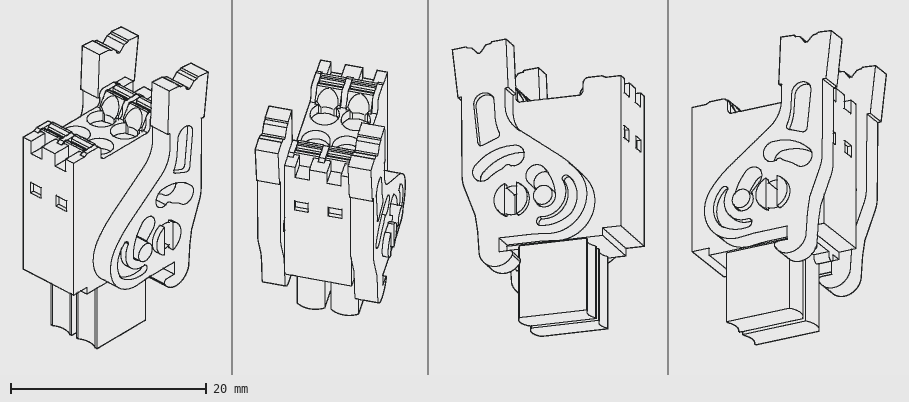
import cadquery as cq


HOUSING_WIDTH = 7.1
HOUSING_DEPTH = 15.28
HOUSING_BOTTOM_Z = 7.75
STEP_Z = 8.58
STEP_HALF_DEPTH = 5.65
PLATEAU_Z = 23.22
HOUSING_TOP_Z = 24.83
RIB_TOP_Z = 25.03

TERMINAL_MID_Y = 0.15
TERMINAL_X = 1.65
ENTRY_OFFSET = 1.93
ENTRY_RADIUS = 1.5
ENTRY_DEPTH = 1.25
ENTRY_FLOOR_Z = PLATEAU_Z - ENTRY_DEPTH

RIB_FOOT = 3.28
RIB_FACE = 3.65
RIB_SHOULDER = 4.27
RIB_RAMP_TOP = 5.75
RIB_RAMP_FOOT = 6.18
RIB_FACE_LOW_Z = 23.8
RIB_FOOT_ARC_MID = 3.55
RIB_FOOT_ARC_MID_Z = 23.4
RIB_FACE_HIGH_Z = 24.48
RIB_TOP_ARC_MID = 3.85
RIB_TOP_ARC_MID_Z = 24.85

TEST_SLOT_X = 1.67
TEST_SLOT_WIDTH = 1.5
TEST_SLOT_FLOOR_Z = 23.3

WINDOW_X = 1.8
WINDOW_WIDTH = 1.45
WINDOW_BOTTOM_Z = 18.45
WINDOW_HEIGHT = 1.3
WINDOW_DEPTH = 0.45

BUTTON_WIDTH = 2.64
BUTTON_FRONT = 3.1
BUTTON_BACK = RIB_RAMP_TOP
BUTTON_RIDGE = 3.98
BUTTON_TOP_Z = 25.12
BUTTON_SLOPE_Z = 23.65
BUTTON_MID = (BUTTON_RIDGE + BUTTON_BACK) / 2
BUTTON_BORE_RADIUS = 1.35
BUTTON_BORE_TOP_Z = 22.87
FUNNEL_MID_RADIUS = 1.82
FUNNEL_MID_Z = 24.2
FUNNEL_TOP_RADIUS = 2.02
GROOVE_DEPTH = 0.53
GROOVE_LEDGE_DEPTH = 0.18

BLADE_X = 1.8
BLADE_WIDTH = 2.93
BLADE_FRONT_Y = -3.8
BLADE_BACK_Y = 3.98
BLADE_BULGE = 0.5
BLADE_GROOVE_WIDTH = 2.4
BLADE_GROOVE_DEPTH = 0.35
LUG_RADIUS = 0.47
LUG_AXIS_Z = 7.38

LEVER_GAP = 0.15
LEVER_THICKNESS = 2.43
LEVER_INNER_X = HOUSING_WIDTH / 2 + LEVER_GAP
LEVER_OUTER_X = LEVER_INNER_X + LEVER_THICKNESS
PIN_SPAN = 13.5
PIN_END_X = PIN_SPAN / 2
PIVOT_Y = 3.22
PIVOT_Z = 11.75
PIVOT_RADIUS = 1.55
PIVOT_HEAD_RADIUS = 1.82
PIVOT_SLOT_WIDTH = 1.3
STUD_Y = -0.3
STUD_RADIUS = 1.02
RECESS_DEPTH = 0.7


def box(x0, x1, y0, y1, z0, z1):
    """Box between two values on each axis."""
    return cq.Workplane("XY").box(x1 - x0, y1 - y0, z1 - z0, centered=False).translate((x0, y0, z0))


def side_sketch(x):
    """Sketch plane across X, where the local axes are Y and Z."""
    return cq.Workplane("YZ", origin=(x, 0, 0))


def row_y(row, offset):
    """Y of a point at a distance from the terminal mid plane; row is 1 for the +Y row, -1 for the other."""
    return TERMINAL_MID_Y + row * offset


def mirror_row(shape):
    """Copy of a shape in the opposite terminal row."""
    return shape.mirror("XZ", (0, TERMINAL_MID_Y, 0))


def housing_block():
    """Stepped block with raised ribs at both ends of the sunken plateau."""
    half_depth = HOUSING_DEPTH / 2
    lower = box(-HOUSING_WIDTH / 2, HOUSING_WIDTH / 2, -STEP_HALF_DEPTH, STEP_HALF_DEPTH,
                HOUSING_BOTTOM_Z, STEP_Z)
    upper = box(-HOUSING_WIDTH / 2, HOUSING_WIDTH / 2, -half_depth, half_depth, STEP_Z, PLATEAU_Z)
    block = lower.union(upper)
    for row in (1, -1):
        foot_arc_mid = (row_y(row, RIB_FOOT_ARC_MID), RIB_FOOT_ARC_MID_Z)
        top_arc_mid = (row_y(row, RIB_TOP_ARC_MID), RIB_TOP_ARC_MID_Z)
        rib = (
            side_sketch(-HOUSING_WIDTH / 2)
            .moveTo(row_y(row, RIB_FOOT), PLATEAU_Z)
            .threePointArc(foot_arc_mid, (row_y(row, RIB_FACE), RIB_FACE_LOW_Z))
            .lineTo(row_y(row, RIB_FACE), RIB_FACE_HIGH_Z)
            .threePointArc(top_arc_mid, (row_y(row, RIB_SHOULDER), RIB_TOP_Z))
            .lineTo(row_y(row, RIB_RAMP_TOP), RIB_TOP_Z)
            .lineTo(row_y(row, RIB_RAMP_FOOT), HOUSING_TOP_Z)
            .lineTo(row * half_depth, HOUSING_TOP_Z)
            .lineTo(row * half_depth, PLATEAU_Z)
            .close()
            .extrude(HOUSING_WIDTH)
        )
        block = block.union(rib)
    return block


def terminal_cuts(x_side):
    """Everything removed from the +Y row of the housing for one terminal."""
    x = x_side * TERMINAL_X
    mid = TERMINAL_MID_Y
    x0 = x - BUTTON_WIDTH / 2
    x1 = x + BUTTON_WIDTH / 2
    button_seat = box(x0, x1, mid + BUTTON_FRONT, mid + BUTTON_BACK, ENTRY_FLOOR_Z, BUTTON_TOP_Z)
    ramp_gap = box(x0, x1, mid + BUTTON_BACK, mid + RIB_RAMP_FOOT, HOUSING_TOP_Z, BUTTON_TOP_Z)
    wire_entry = (
        cq.Workplane("XY", origin=(x, mid + ENTRY_OFFSET, ENTRY_FLOOR_Z))
        .circle(ENTRY_RADIUS)
        .extrude(ENTRY_DEPTH)
    )
    slot_x = x_side * TEST_SLOT_X
    test_slot = box(slot_x - TEST_SLOT_WIDTH / 2, slot_x + TEST_SLOT_WIDTH / 2,
                    mid + BUTTON_BACK, HOUSING_DEPTH, TEST_SLOT_FLOOR_Z, BUTTON_TOP_Z)
    return button_seat.union(ramp_gap).union(wire_entry).union(test_slot)


def window(x_side, row):
    """Shallow window in the end face of one row."""
    return cq.Workplane("XY").box(WINDOW_WIDTH, 2 * WINDOW_DEPTH, WINDOW_HEIGHT).translate(
        (x_side * WINDOW_X, row * HOUSING_DEPTH / 2, WINDOW_BOTTOM_Z + WINDOW_HEIGHT / 2)
    )


def blade(x_side):
    """Plug blade with a convex back end, a concave front end and a round-bottomed lug at its root."""
    x = x_side * BLADE_X
    half = BLADE_WIDTH / 2
    half_groove = BLADE_GROOVE_WIDTH / 2
    shoulder_y = BLADE_BACK_Y - BLADE_BULGE
    body = (
        cq.Workplane("XY")
        .moveTo(x - half, BLADE_FRONT_Y)
        .lineTo(x - half_groove, BLADE_FRONT_Y)
        .threePointArc((x, BLADE_FRONT_Y + BLADE_GROOVE_DEPTH), (x + half_groove, BLADE_FRONT_Y))
        .lineTo(x + half, BLADE_FRONT_Y)
        .lineTo(x + half, shoulder_y)
        .threePointArc((x, BLADE_BACK_Y), (x - half, shoulder_y))
        .close()
        .extrude(HOUSING_BOTTOM_Z)
    )
    lug = (
        cq.Workplane("XZ", origin=(x, STEP_HALF_DEPTH, 0))
        .moveTo(-LUG_RADIUS, HOUSING_BOTTOM_Z)
        .lineTo(-LUG_RADIUS, LUG_AXIS_Z)
        .threePointArc((0, LUG_AXIS_Z - LUG_RADIUS), (LUG_RADIUS, LUG_AXIS_Z))
        .lineTo(LUG_RADIUS, HOUSING_BOTTOM_Z)
        .close()
        .extrude(STEP_HALF_DEPTH - shoulder_y)
    )
    return body.union(lug)


def pivot_pin():
    """Slotted snap pin on the +X side: a neck through the lever and a wider head outside it."""
    start_x = HOUSING_WIDTH / 2
    neck = (
        side_sketch(start_x)
        .center(PIVOT_Y, PIVOT_Z)
        .circle(PIVOT_RADIUS)
        .extrude(LEVER_OUTER_X - start_x)
    )
    head = (
        side_sketch(LEVER_OUTER_X)
        .center(PIVOT_Y, PIVOT_Z)
        .circle(PIVOT_HEAD_RADIUS)
        .extrude(PIN_END_X - LEVER_OUTER_X)
    )
    slot = box(LEVER_INNER_X, PIN_END_X, PIVOT_Y - PIVOT_SLOT_WIDTH / 2, PIVOT_Y + PIVOT_SLOT_WIDTH / 2,
               PIVOT_Z - PIVOT_HEAD_RADIUS, PIVOT_Z + PIVOT_HEAD_RADIUS)
    return neck.union(head).cut(slot)


def guide_stud():
    """Round stud on the +X side that runs in the guide slot of the lever."""
    start_x = HOUSING_WIDTH / 2
    return side_sketch(start_x).center(STUD_Y, PIVOT_Z).circle(STUD_RADIUS).extrude(PIN_END_X - start_x)


def make_housing():
    housing = housing_block()
    for x_side in (1, -1):
        cuts = terminal_cuts(x_side)
        housing = housing.cut(cuts).cut(mirror_row(cuts))
        housing = housing.cut(window(x_side, 1)).cut(window(x_side, -1))
        housing = housing.union(blade(x_side))
    for fitting in (pivot_pin(), guide_stud()):
        housing = housing.union(fitting).union(fitting.mirror("YZ"))
    return housing


def button_block(x, row):
    """Button with a sloped inner face."""
    return (
        side_sketch(x - BUTTON_WIDTH / 2)
        .moveTo(row_y(row, BUTTON_FRONT), ENTRY_FLOOR_Z)
        .lineTo(row_y(row, BUTTON_FRONT), BUTTON_SLOPE_Z)
        .lineTo(row_y(row, BUTTON_RIDGE), BUTTON_TOP_Z)
        .lineTo(row_y(row, BUTTON_BACK), BUTTON_TOP_Z)
        .lineTo(row_y(row, BUTTON_BACK), ENTRY_FLOOR_Z)
        .close()
        .extrude(BUTTON_WIDTH)
    )


def button_groove(x, row):
    """Stepped groove across the button top; it faces the same way in both rows."""
    mid_y = row_y(row, BUTTON_MID)
    floor_z = BUTTON_TOP_Z - GROOVE_DEPTH
    ledge_z = BUTTON_TOP_Z - GROOVE_LEDGE_DEPTH
    outline = [
        (mid_y + 0.6, BUTTON_TOP_Z),
        (mid_y + 0.23, BUTTON_TOP_Z - GROOVE_DEPTH / 2),
        (mid_y + 0.18, floor_z),
        (mid_y - 0.3, floor_z),
        (mid_y - 0.35, ledge_z),
        (mid_y - 0.55, ledge_z),
        (mid_y - 0.61, BUTTON_TOP_Z),
    ]
    return side_sketch(x - BUTTON_WIDTH / 2).polyline(outline).close().extrude(BUTTON_WIDTH)


def button_funnel(x, row):
    """Bore at the wire entry that widens upward into a funnel in two stages."""
    entry_y = row_y(row, ENTRY_OFFSET)
    outline = [
        (0, ENTRY_FLOOR_Z),
        (row * BUTTON_BORE_RADIUS, ENTRY_FLOOR_Z),
        (row * BUTTON_BORE_RADIUS, BUTTON_BORE_TOP_Z),
        (row * FUNNEL_MID_RADIUS, FUNNEL_MID_Z),
        (row * FUNNEL_TOP_RADIUS, BUTTON_TOP_Z),
        (0, BUTTON_TOP_Z),
    ]
    return (
        cq.Workplane("YZ", origin=(x, entry_y, 0))
        .polyline(outline)
        .close()
        .revolve(360, (0, 0, 0), (0, 1, 0))
    )


def make_button(x, row):
    return button_block(x, row).cut(button_groove(x, row)).cut(button_funnel(x, row))


def lever_plate():
    """Plate with a notched handle at the top and a latching hook at the bottom."""
    return (
        side_sketch(LEVER_INNER_X)
        .moveTo(9.8, 28.78)
        .lineTo(8.32, 28.93)
        .lineTo(8.15, 28.78)
        .lineTo(7.67, 28.72)
        .lineTo(7.03, 28.08)
        .lineTo(6.75, 28.08)
        .lineTo(6.15, 28.9)
        .lineTo(5.62, 29.0)
        .lineTo(5.53, 29.15)
        .lineTo(3.95, 29.28)
        .lineTo(3.72, 24.05)
        .lineTo(4.05, 23.95)
        .lineTo(4.05, 21.9)
        .threePointArc((3.7, 20.6), (2.72, 19.45))
        .lineTo(-2.1, 15.87)
        .threePointArc((-3.07, 15.02), (-3.98, 14.0))
        .threePointArc((-4.57, 10.07), (-0.97, 7.7))
        .lineTo(0.88, 7.85)
        .lineTo(4.7, 7.85)
        .lineTo(4.7, 6.35)
        .lineTo(3.55, 6.35)
        .threePointArc((3.35, 6.27), (3.25, 6.05))
        .lineTo(3.25, 5.85)
        .threePointArc((5.1, 4.8), (6.88, 6.32))
        .lineTo(7.05, 8.87)
        .lineTo(7.32, 10.6)
        .lineTo(8.52, 13.73)
        .threePointArc((8.7, 14.4), (8.75, 15.08))
        .lineTo(8.8, 23.55)
        .lineTo(9.2, 23.55)
        .close()
        .extrude(LEVER_THICKNESS)
    )


def handle_recess():
    """Long blind recess below the handle, open to the outer face."""
    return (
        side_sketch(LEVER_OUTER_X - RECESS_DEPTH)
        .moveTo(7.47, 22.6)
        .threePointArc((6.4, 23.72), (5.25, 22.7))
        .lineTo(5.15, 21.35)
        .threePointArc((5.05, 20.3), (4.7, 19.3))
        .threePointArc((4.65, 18.95), (4.85, 18.7))
        .lineTo(6.4, 18.1)
        .threePointArc((6.8, 18.1), (7.03, 18.45))
        .close()
        .extrude(RECESS_DEPTH)
    )


def curved_opening():
    """Arched opening through the lever, between the handle and the pivot."""
    return (
        side_sketch(LEVER_INNER_X)
        .moveTo(7.17, 16.1)
        .threePointArc((5.33, 17.33), (3.15, 17.69))
        .threePointArc((1.95, 16.57), (3.05, 15.45))
        .lineTo(3.43, 15.52)
        .threePointArc((3.7, 15.66), (3.98, 15.6))
        .lineTo(4.4, 15.28)
        .threePointArc((5.18, 14.9), (5.9, 14.38))
        .threePointArc((7.4, 14.67), (7.17, 16.1))
        .close()
        .extrude(LEVER_THICKNESS)
    )


def guide_slot():
    """Slot through the lever for the guide stud."""
    return (
        side_sketch(LEVER_INNER_X)
        .moveTo(1.55, 13.53)
        .threePointArc((1.32, 15.1), (-0.3, 14.73))
        .threePointArc((-1.1, 13.35), (-1.43, 11.77))
        .threePointArc((-0.32, 10.63), (0.8, 11.75))
        .threePointArc((0.73, 12.12), (0.55, 12.47))
        .close()
        .extrude(LEVER_THICKNESS)
    )


def spring_recess():
    """Curved blind recess around the guide slot, open to the outer face."""
    return (
        side_sketch(LEVER_OUTER_X - RECESS_DEPTH)
        .moveTo(-2.17, 13.4)
        .threePointArc((-2.5, 13.82), (-2.87, 13.67))
        .threePointArc((-3.8, 11.42), (-3.13, 9.63))
        .threePointArc((-1.65, 8.8), (0.3, 8.7))
        .threePointArc((0.61, 9.15), (0.3, 9.63))
        .threePointArc((-2.05, 10.55), (-2.17, 13.4))
        .close()
        .extrude(RECESS_DEPTH)
    )


def make_lever(x_side):
    """Lever on the +X side, mirrored for the -X side."""
    pivot_hole = (
        side_sketch(LEVER_INNER_X).center(PIVOT_Y, PIVOT_Z).circle(PIVOT_RADIUS).extrude(LEVER_THICKNESS)
    )
    lever = lever_plate().cut(pivot_hole)
    for cut in (handle_recess(), curved_opening(), guide_slot(), spring_recess()):
        lever = lever.cut(cut)
    return lever if x_side > 0 else lever.mirror("YZ")


housing = make_housing()
levers = [make_lever(x_side).val() for x_side in (1, -1)]
buttons = [make_button(x_side * TERMINAL_X, row).val() for x_side in (1, -1) for row in (1, -1)]

result = cq.Compound.makeCompound([housing.val(), *levers, *buttons])